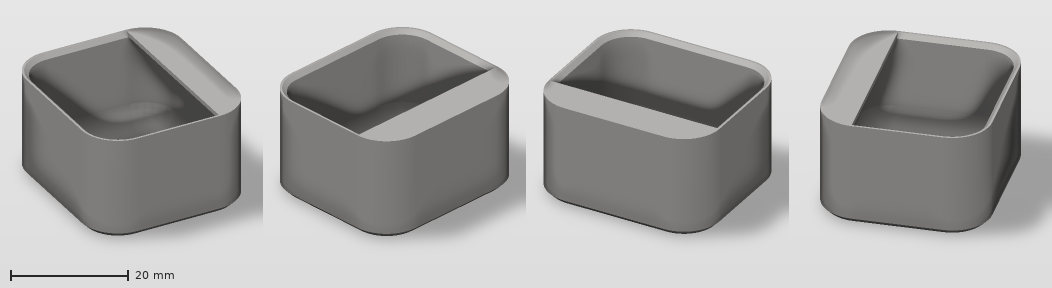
import cadquery as cq

length = 33.5
width = 30.0
height = 19.2
corner_radius = 7.0
base_chamfer = 1.0

wall = 1.2
floor_thickness = 1.2
floor_fillet = 4.0
rim_chamfer = 0.8
rim_bevel_angle = 45

ledge_depth = corner_radius
ledge_lip_height = rim_chamfer
ledge_underside_drop = 6.9

rear_y = width / 2
ledge_front_y = rear_y - ledge_depth
cavity_length = length - 2 * wall
cavity_width = width - 2 * wall
cavity_radius = corner_radius - wall


def rounded_block(size_x, size_y, size_z, radius, bottom_z):
    """Block with rounded vertical edges, standing on bottom_z."""
    block = cq.Workplane("XY").workplane(offset=bottom_z).rect(size_x, size_y).extrude(size_z)
    return block.edges("|Z").fillet(radius)


def make_body():
    body = rounded_block(length, width, height, corner_radius, 0)
    return body.faces("<Z").edges().chamfer(base_chamfer)


def make_cavity():
    cavity_depth = height - floor_thickness
    cavity = rounded_block(cavity_length, cavity_width, cavity_depth, cavity_radius, floor_thickness)
    return cavity.faces("<Z").edges().fillet(floor_fillet)


def make_rim_cut():
    """Tapered cutter that bevels the inner edge of the rim at 45 degrees."""
    opening = (
        cq.Sketch()
        .rect(cavity_length + 2 * rim_chamfer, cavity_width + 2 * rim_chamfer)
        .vertices()
        .fillet(cavity_radius + rim_chamfer)
    )
    top_plane = cq.Workplane("XY").workplane(offset=height)
    return top_plane.placeSketch(opening).extrude(-rim_chamfer, taper=rim_bevel_angle)


def make_ledge():
    """Space under the rear rim that stays solid, as a wedge along X."""
    lip_z = height - ledge_lip_height
    inner_rear_y = rear_y - wall
    profile = [
        (ledge_front_y, height),
        (ledge_front_y, lip_z),
        (inner_rear_y, lip_z - ledge_underside_drop),
        (rear_y, lip_z - ledge_underside_drop),
        (rear_y, height),
    ]
    return cq.Workplane("YZ").polyline(profile).close().extrude(length / 2, both=True)


hollow = make_cavity().union(make_rim_cut()).cut(make_ledge())
result = make_body().cut(hollow)